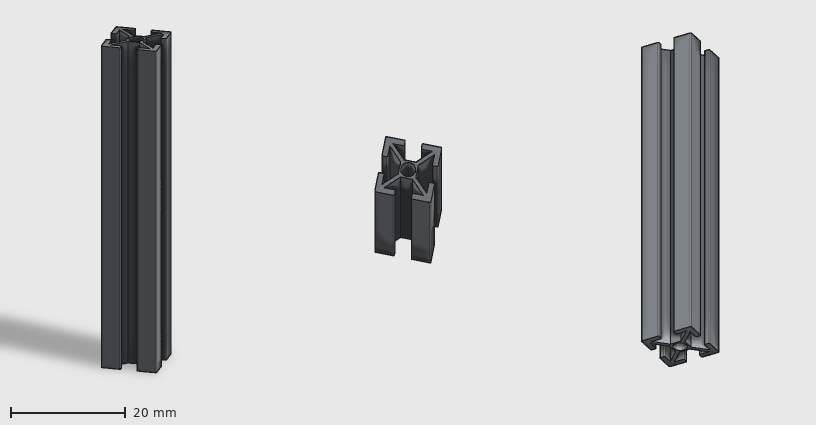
import cadquery as cq
import math

length = 60.0
width = length / 6
slot_opening = 3.0
lip_thickness = 1.0
core_width = 3.1
web_thickness = 0.7
bore_diameter = 2.5
edge_radius = 0.2

half_width = width / 2
half_slot = slot_opening / 2
half_core = core_width / 2
lip_inner = half_width - lip_thickness
web_offset = web_thickness / math.sqrt(2)


def make_slot():
    """T-slot on the +Y side, running the full length."""
    right_side = [
        (half_core - web_offset, half_core),
        (lip_inner - web_offset, lip_inner),
        (half_slot, lip_inner),
        (half_slot, half_width),
    ]
    left_side = [(-x, y) for x, y in reversed(right_side)]
    return cq.Workplane("XY").polyline(right_side + left_side).close().extrude(length)


def is_lip_edge(edge):
    """True for the outer corner of each lip pair and the lip edges at a slot mouth."""
    center = edge.Center()
    near, far = sorted((abs(center.x), abs(center.y)))
    is_outer_corner = near > lip_inner
    is_slot_mouth = near < half_slot + edge_radius and far > lip_inner - edge_radius
    return is_outer_corner or is_slot_mouth


result = cq.Workplane("XY").rect(width, width).extrude(length)
slot = make_slot()
for side in range(4):
    result = result.cut(slot.rotate((0, 0, 0), (0, 0, 1), 90 * side))

result = result.edges("|Z").filter(is_lip_edge).fillet(edge_radius)

bore = cq.Workplane("XY").circle(bore_diameter / 2).extrude(length)
result = result.cut(bore)